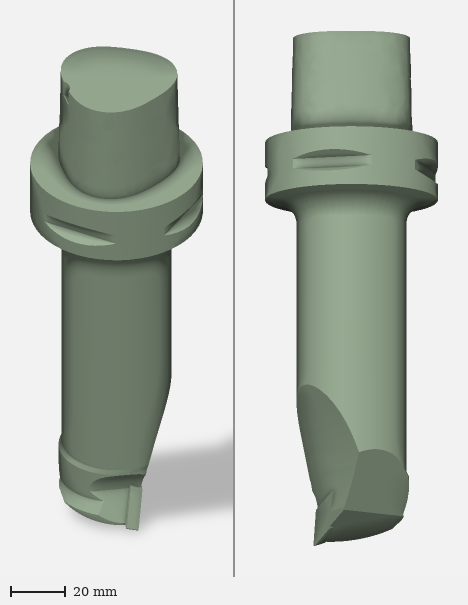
import cadquery as cq
import math


taper_height = 37.7
taper_base_radius = 21.8
taper_top_radius = 20.9
lobe_height = 1.6
lobe_points = 36

notch_radius = 5.1
notch_center_y = -23.0
notch_depth = 6.0

flange_radius = 31.5
flange_rim_bottom = -21.5
shaft_radius = 40.0 / 2
neck_bottom = -30.2
neck_radius = 7.7
neck_cone_angle = math.radians(15)

groove_z = -12.3
groove_floor_distance = 27.8
groove_floor_width = 3.5
groove_rim_width = 7.9
groove_count = 4

step_top = -122.2
step_bottom = -124.0
head_shift = (0.0, -1.1)
flare_top = -136.0
flare_angle = math.radians(44)
flare_flat_y = -22.5
flare_limit_radius = 24.3

tip_x = 27.3
tip_y = 0.2
tip_z = -145.7
rake_angle = math.radians(20)
insert_side = 15.2
insert_thickness = 4.8
insert_nose_radius = 0.4
bottom_edge_angle = 17.0
insert_corner_angle = 35.0

back_plane_start_z = -117.1
bottom_corner_x = -0.5
bottom_angle = math.radians(17)
relief_start_x = 10.0
relief_angle = math.radians(15.5)
gullet_top_z = -91.9
gullet_mid = (7.7, -118.5)
gullet_bottom_z = -135.8
throat_bottom = (16.5, -132.9)
throat_middle = (16.7, -129.7)
throat_top = (20.7, step_bottom)
throat_skew = -7.0
throat_pivot_y = -1.8
clear = 54.9


def trilobe(mean_radius, z):
    """Closed wire with radius mean_radius - lobe_height * sin(3 * angle)."""
    points = []
    for i in range(lobe_points):
        angle = 2 * math.pi * i / lobe_points
        radius = mean_radius - lobe_height * math.sin(3 * angle)
        points.append(cq.Vector(radius * math.cos(angle), radius * math.sin(angle), z))
    edge = cq.Edge.makeSpline(points, periodic=True)
    return cq.Wire.assembleEdges([edge])


def make_taper():
    base = trilobe(taper_base_radius, 0)
    top = trilobe(taper_top_radius, taper_height)
    taper = cq.Workplane(cq.Solid.makeLoft([base, top], True))
    notch = (
        cq.Workplane("XY", origin=(0, notch_center_y, taper_height))
        .circle(notch_radius)
        .extrude(-notch_depth)
    )
    return taper.cut(notch)


def make_flange_and_shaft():
    arc_x = shaft_radius + neck_radius

    def neck_point(angle):
        """Point on the neck arc, at an angle measured from straight up toward the axis."""
        return (
            arc_x - neck_radius * math.sin(angle),
            neck_bottom + neck_radius * math.cos(angle),
        )

    cone_end = neck_point(neck_cone_angle)
    arc_middle = neck_point((neck_cone_angle + math.pi / 2) / 2)
    rim_bottom = (flange_radius, flange_rim_bottom)
    return (
        cq.Workplane("XZ")
        .moveTo(0, 0)
        .lineTo(flange_radius, 0)
        .lineTo(*rim_bottom)
        .lineTo(*cone_end)
        .threePointArc(arc_middle, (shaft_radius, neck_bottom))
        .lineTo(shaft_radius, step_top)
        .lineTo(0, step_top)
        .close()
        .revolve(360, (0, 0, 0), (0, 1, 0))
    )


def make_groove(angle):
    half_floor = groove_floor_width / 2
    half_rim = groove_rim_width / 2
    return (
        cq.Workplane("XZ")
        .polyline([
            (groove_floor_distance, groove_z - half_floor),
            (flange_radius, groove_z - half_rim),
            (clear, groove_z - half_rim),
            (clear, groove_z + half_rim),
            (flange_radius, groove_z + half_rim),
            (groove_floor_distance, groove_z + half_floor),
        ])
        .close()
        .extrude(flange_radius, both=True)
        .rotate((0, 0, 0), (0, 0, 1), angle)
    )


def make_head():
    step = (
        cq.Workplane("XY", origin=(0, 0, step_top))
        .circle(shaft_radius)
        .workplane(offset=step_bottom - step_top)
        .center(*head_shift)
        .circle(shaft_radius)
        .loft(ruled=True)
    )
    barrel = (
        cq.Workplane("XY", origin=(*head_shift, step_bottom))
        .circle(shaft_radius)
        .extrude(flare_top - step_bottom)
    )
    flare_height = flare_top - tip_z
    flare = (
        cq.Workplane("XY", origin=(*head_shift, flare_top))
        .circle(shaft_radius)
        .workplane(offset=-flare_height)
        .circle(shaft_radius + flare_height * math.tan(flare_angle))
        .loft(ruled=True)
    )
    outside_flat = (
        cq.Workplane("XY", origin=(0, flare_flat_y, flare_top))
        .rect(2 * clear, 2 * clear)
        .extrude(-flare_height)
        .translate((0, -clear, 0))
    )
    limit = cq.Workplane("XY", origin=(0, 0, flare_top)).circle(flare_limit_radius).extrude(-flare_height)
    flare = flare.intersect(limit).cut(outside_flat)
    return step.union(barrel).union(flare)


def make_underside_cut():
    """Space below the 45 degree back plane and the two shallow bottom planes."""
    corner_z = back_plane_start_z - (bottom_corner_x + shaft_radius)
    relief_z = corner_z - (relief_start_x - bottom_corner_x) * math.tan(bottom_angle)
    end_z = relief_z - (clear - relief_start_x) * math.tan(relief_angle)
    return (
        cq.Workplane("XZ")
        .polyline([
            (-clear, back_plane_start_z - shaft_radius + clear),
            (bottom_corner_x, corner_z),
            (relief_start_x, relief_z),
            (clear, end_z),
            (clear, tip_z - clear),
            (-clear, tip_z - clear),
        ])
        .close()
        .extrude(clear, both=True)
    )


def make_gullet_cut():
    """Chip space on the +Y side: a long arc that runs into the rake plane."""
    rake_slope = math.tan(rake_angle)
    end_z = tip_z - 1.8
    rake_top_y = tip_y + (gullet_bottom_z - tip_z) * rake_slope
    rake_end_y = tip_y + (end_z - tip_z) * rake_slope
    return (
        cq.Workplane("YZ")
        .moveTo(shaft_radius, gullet_top_z)
        .threePointArc(gullet_mid, (rake_top_y, gullet_bottom_z))
        .lineTo(rake_end_y, end_z)
        .lineTo(clear, end_z)
        .lineTo(clear, gullet_top_z)
        .close()
        .extrude(clear, both=True)
    )


def make_throat_cut():
    """Rounded throat on the +X side, continued along the side of the insert."""
    side_angle = math.radians(bottom_edge_angle + insert_corner_angle)
    end_x = throat_bottom[0] + clear * math.cos(side_angle)
    end_z = throat_bottom[1] - clear * math.sin(side_angle)
    return (
        cq.Workplane("XZ")
        .moveTo(*throat_top)
        .threePointArc(throat_middle, throat_bottom)
        .lineTo(end_x, end_z)
        .lineTo(end_x, throat_top[1])
        .close()
        .extrude(clear, both=True)
        .rotate((throat_bottom[0], throat_pivot_y, 0), (throat_bottom[0], throat_pivot_y, 1), throat_skew)
    )


def make_insert():
    """Rhombic plate; its outer face lies in the rake plane."""
    def side(angle_degrees):
        angle = math.radians(angle_degrees)
        return (-insert_side * math.cos(angle), -insert_side * math.sin(angle) / math.cos(rake_angle))

    rake_plane = cq.Plane(
        origin=(tip_x, tip_y, tip_z),
        xDir=(1, 0, 0),
        normal=(0, math.cos(rake_angle), -math.sin(rake_angle)),
    )
    lower = side(bottom_edge_angle)
    upper = side(bottom_edge_angle + insert_corner_angle)
    far_corner = (lower[0] + upper[0], lower[1] + upper[1])
    plate = (
        cq.Workplane(rake_plane)
        .polyline([(0, 0), lower, far_corner, upper])
        .close()
        .extrude(-insert_thickness)
    )
    nose = cq.selectors.NearestToPointSelector((tip_x, tip_y, tip_z))
    return plate.edges(nose).fillet(insert_nose_radius)


insert = make_insert()

holder = make_flange_and_shaft().union(make_taper()).union(make_head())
for i in range(groove_count):
    holder = holder.cut(make_groove(45 + i * 360 / groove_count))
holder = holder.cut(make_underside_cut()).cut(make_gullet_cut()).cut(make_throat_cut())
holder = holder.cut(insert)

result = cq.Compound.makeCompound([holder.val(), insert.val()])